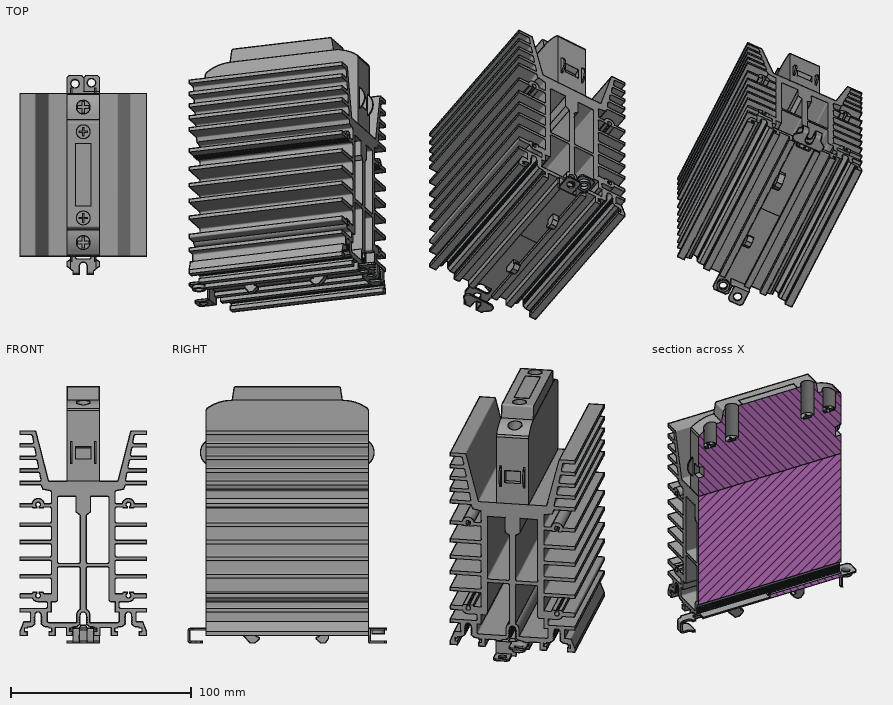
import cadquery as cq
import math

total_height = 141.8
body_length = 90.0
end_y = body_length / 2
clip_reach = 55.0
half_width = 35.0
relay_half_width = 9.1

foot_z = 4.1
floor_bottom, floor_top = 8.5, 11.3
seat_z = 89.5
seat_bottom = 81.1
flank_z = 84.1
fin_thickness = 2.0
root_radius = 0.9
step_radius = 1.1
upper_fin_pitch = 7.0
upper_fin_count = 5
upper_fin_tops = [seat_z + i * upper_fin_pitch for i in range(upper_fin_count)]
slope_foot_inner, slope_top_inner = 19.1, 26.2
slope_foot_outer, slope_top_outer = 23.3, 28.6
plain_fin_tops = [66.5, 56.9, 47.6, 37.9]
boss_fin_top = 77.1
low_boss_fin_top, low_boss_fin_bottom = 27.4, 24.8
low_boss_fin_tip_radius = 0.7
bottom_fin_top = 19.1
wall_outer, wall_inner = 17.6, 14.2
low_wall_outer = 19.9
web_half = 1.7
stem_half, stem_end, stem_taper = 4.1, 72.6, 2.0
shelf_z = 43.1
shelf_thickness = 2.0

channel_x = 25.0
boss_radius, boss_hole_radius, boss_gap_half = 3.4, 1.3, 0.5
upper_boss_z, low_boss_z = 76.6, 26.2
upper_boss_rim_z, low_boss_rim_z = 74.7, 28.2
groove_half, groove_centre_z = 1.7, 15.5
notch_depth, notch_pitch, notch_count, lowest_notch_z = 0.4, 1.4, 3, 11.3
dome_wall = 2.0
slide_half, slide_bottom, slide_top = 7.5, 6.4, 8.2
mouth_half = 6.0
skirt_wall, skirt_shoulder, skirt_top = 29.2, 32.9, 11.9
leg_half = 9.4

crown_base, crown_half_base, crown_half_top, crown_radius = 134.3, 30.5, 29.4, 1.1
crown_half_width = 9.0
shoulder_end_z, shoulder_inset = 129.7, 0.5
relay_side_z = 128.5
well_radius, well_floor_z = 3.8, 120.5
inner_well_y, outer_well_y = 23.8, 37.5
cross_depth = 1.1
inner_cross_length, inner_cross_width = 4.8, 0.7
outer_cross_length, outer_cross_width = 6.2, 1.5
label_width, label_length, label_depth = 8.4, 34.6, 0.1
ear_x, ear_thickness, ear_radius, ear_z, ear_reach = 6.7, 0.9, 7.7, 105.4, 48.0
window_half, window_bottom, window_top, window_depth, window_slope = 4.4, 101.7, 108.8, 3.3, 1.0

sheet = 1.1
strip_bottom = slide_top - sheet
bend_radius = 1.7
leg_fold_radius = 0.7
strip_half = 7.1
slot_half, slot_end_y = 2.1, 48.4
front_leg_half, front_leg_y = 5.7, 53.2
strip_shoulder_y = 52.2
wing_half = 9.1
front_tab_y = 47.0
spring_window_y, spring_window_radius = 44.2, 1.1
spring_window_width, spring_window_length = 8.5, 4.5
tab_split_x = 0.3
tab_corner = 1.3
rear_hole_x, rear_hole_radius = 4.5, 2.3
collar_y, low_hole_y = 50.3, 50.9
collar_radius, collar_bottom, collar_flare = 3.5, 5.1, 1.0
bead_half_base, bead_half_top, bead_top = 2.3, 1.3, 9.9
hook_x_min, hook_x_max = -5.5, -2.1
rear_leg_x_min = -2.1


def prism(points):
    """Closed XZ outline run along the whole length of the heatsink."""
    return cq.Workplane("XZ").polyline(points).close().extrude(end_y, both=True)


def bar(x_min, x_max, z_min, z_max):
    return prism([(x_min, z_min), (x_max, z_min), (x_max, z_max), (x_min, z_max)])


def rod(x, z, radius):
    return cq.Workplane("XZ").center(x, z).circle(radius).extrude(end_y, both=True)


def side_prism(points, x_min, x_max):
    """Closed YZ outline run from x_min to x_max."""
    outline = cq.Workplane("YZ").workplane(offset=x_min).polyline(points).close()
    return outline.extrude(x_max - x_min)


def plate(points, z_min, thickness):
    return cq.Workplane("XY").workplane(offset=z_min).polyline(points).close().extrude(thickness)


def both_sides(shape, plane):
    return shape.union(shape.mirror(plane))


def sloped_wall():
    """Wall that leans outward beside the relay, thinner toward its top."""
    top = upper_fin_tops[-1]
    return prism([(slope_outer(seat_z), seat_z), (slope_foot_inner, seat_z), (slope_top_inner, top),
                  (slope_outer(top), top)])


def slope_outer(z):
    """Half width of the sloped wall's outer face at height z."""
    rise = (z - seat_z) / (upper_fin_tops[-1] - seat_z)
    return slope_foot_outer + rise * (slope_top_outer - slope_foot_outer)


def seat_half():
    """Thick deck under the relay with the stepped flank below its lowest fin."""
    fin_bottom = seat_z - fin_thickness
    return prism([(0, seat_z), (slope_foot_outer, seat_z), (slope_foot_outer, fin_bottom),
                  (22.4, 85.1), (wall_outer, flank_z), (wall_outer, seat_bottom), (0, seat_bottom)])


def side_fins():
    fins = bar(low_wall_outer, half_width, bottom_fin_top - fin_thickness, bottom_fin_top)
    for top in upper_fin_tops:
        root = slope_outer(top - fin_thickness) - 0.5 * fin_thickness
        fins = fins.union(bar(root, half_width, top - fin_thickness, top))
    for top in plain_fin_tops + [boss_fin_top]:
        fins = fins.union(bar(wall_inner, half_width, top - fin_thickness, top))
    low_fin = bar(wall_inner, half_width, low_boss_fin_bottom, low_boss_fin_top)
    return fins.union(low_fin.edges("|Y and >X").fillet(low_boss_fin_tip_radius))


def upper_boss():
    return rod(channel_x, upper_boss_z, boss_radius).cut(
        bar(channel_x - boss_radius, channel_x + boss_radius, upper_boss_z - 2 * boss_radius,
            upper_boss_rim_z))


def low_boss():
    """Boss that opens upward, joined to the side wall by a block."""
    bottom = low_boss_z - boss_radius
    round_part = rod(channel_x, low_boss_z, boss_radius).cut(
        bar(channel_x - boss_radius, channel_x + boss_radius, low_boss_rim_z,
            low_boss_rim_z + boss_radius))
    return round_part.union(bar(wall_inner, channel_x, bottom, low_boss_fin_top))


def boss_hole(z, open_end_z):
    """Screw hole with a narrow gap along one side."""
    gap = bar(channel_x - boss_gap_half, channel_x + boss_gap_half, min(z, open_end_z), max(z, open_end_z))
    return rod(channel_x, z, boss_hole_radius).union(gap)


def rail_foot():
    """Outer foot with the flared skirt."""
    bottom_fin = bottom_fin_top - fin_thickness
    return prism([(15.5, foot_z), (half_width, foot_z), (half_width, 6.4),
                  (skirt_shoulder, skirt_top), (skirt_wall, skirt_top), (skirt_wall, bottom_fin),
                  (low_wall_outer, bottom_fin), (low_wall_outer, floor_top), (15.5, floor_top)])


def rail_channel(x):
    """Round-topped, notched screw groove that flares into an undercut slide."""
    half = [(groove_half, groove_centre_z)]
    for i in reversed(range(notch_count)):
        z = lowest_notch_z + i * notch_pitch
        half += [(groove_half, z + notch_depth), (groove_half + notch_depth, z),
                 (groove_half, z - notch_depth)]
    half += [(groove_half, 10.5), (3.4, 9.1), (mouth_half, 8.8),
             (mouth_half, slide_top), (slide_half, slide_top), (slide_half, slide_bottom),
             (mouth_half, slide_bottom), (mouth_half, foot_z - 1.4)]
    right = [(x + dx, z) for dx, z in half]
    left = [(x - dx, z) for dx, z in reversed(half)]
    return prism(right + left).union(rod(x, groove_centre_z, groove_half))


def round_edges(part, corners, radius):
    """Rounds the lengthwise edges at the given (x, z) corners and at their mirror images."""
    reach = 0.1
    edges = []
    for corner_x, z in corners:
        for x in (corner_x, -corner_x):
            box = cq.selectors.BoxSelector((x - reach, -1.4, z - reach), (x + reach, 1.4, z + reach))
            edges += part.edges(box).vals()
    return part.newObject(edges).fillet(radius)


def root_corners():
    """Corners of the fins, the seat, its flanks, the inner chambers and the skirts."""
    corners = [(slope_foot_inner, seat_z), (slope_top_inner, upper_fin_tops[-1])]
    for top in upper_fin_tops[:-1]:
        corners.append((slope_outer(top), top))
    for top in upper_fin_tops[1:]:
        corners.append((slope_outer(top - fin_thickness), top - fin_thickness))
    for top in plain_fin_tops + [boss_fin_top]:
        corners += [(wall_outer, top), (wall_outer, top - fin_thickness)]
    for z in (shelf_z - shelf_thickness / 2, shelf_z + shelf_thickness / 2):
        corners += [(wall_inner, z), (web_half, z)]
    bottom_fin = bottom_fin_top - fin_thickness
    corners += [(wall_inner, seat_bottom), (low_wall_outer, floor_top), (low_wall_outer, bottom_fin_top),
                (low_wall_outer, low_boss_z - boss_radius), (skirt_wall, bottom_fin),
                (skirt_shoulder, skirt_top), (wall_outer, flank_z),
                (slope_foot_outer, seat_z - fin_thickness)]
    return corners


def make_heatsink():
    half = seat_half().union(sloped_wall()).union(side_fins())
    half = half.union(bar(wall_inner, wall_outer, low_boss_fin_bottom, seat_z))
    half = half.union(bar(wall_outer, low_wall_outer, bottom_fin_top - fin_thickness, low_boss_z))
    half = half.union(upper_boss()).union(low_boss()).union(rail_foot())
    half = half.union(prism([(0, seat_z), (stem_half, seat_z), (stem_half, stem_end),
                             (web_half, stem_end - stem_taper), (0, stem_end - stem_taper)]))
    half = half.union(bar(0, web_half, groove_centre_z, seat_z))
    half = half.union(bar(0, wall_outer, shelf_z - shelf_thickness / 2, shelf_z + shelf_thickness / 2))
    half = half.union(bar(0, low_wall_outer, floor_bottom, floor_top))
    half = half.union(bar(0, leg_half, foot_z, floor_top))
    half = half.union(bar(0, groove_half + dome_wall, floor_bottom, groove_centre_z))
    half = half.cut(boss_hole(upper_boss_z, upper_boss_z - boss_radius))
    half = half.cut(boss_hole(low_boss_z, low_boss_z + boss_radius))

    sink = both_sides(half, "YZ").union(rod(0, groove_centre_z, groove_half + dome_wall))
    for x in (-channel_x, 0, channel_x):
        sink = sink.cut(rail_channel(x))
    sink = round_edges(sink, root_corners(), root_radius)
    return round_edges(sink, [(wall_inner, low_boss_z - boss_radius)], step_radius)


def relay_block():
    """Housing with rounded shoulders and a raised crown."""
    shoulder_y = end_y - shoulder_inset
    outline = (
        cq.Workplane("YZ").workplane(offset=-relay_half_width)
        .moveTo(-end_y, seat_z).lineTo(end_y, seat_z).lineTo(end_y, relay_side_z)
        .lineTo(shoulder_y, shoulder_end_z)
        .threePointArc(shoulder_arc_middle(1), (crown_half_base, crown_base))
        .lineTo(-crown_half_base, crown_base)
        .threePointArc(shoulder_arc_middle(-1), (-shoulder_y, shoulder_end_z))
        .lineTo(-end_y, relay_side_z).close()
    )
    crown = side_prism([(-crown_half_base, crown_base), (crown_half_base, crown_base),
                        (crown_half_top, total_height), (-crown_half_top, total_height)],
                       -crown_half_width, crown_half_width)
    crown = crown.edges("|X and >Z").fillet(crown_radius)
    return outline.extrude(2 * relay_half_width).union(crown)


def shoulder_arc_middle(side):
    """Middle of the arc that leaves the flat top tangentially."""
    run = end_y - shoulder_inset - crown_half_base
    drop = crown_base - shoulder_end_z
    radius = (run ** 2 + drop ** 2) / (2 * drop)
    half_sweep = math.asin(run / radius) / 2
    return (side * (crown_half_base + radius * math.sin(half_sweep)),
            crown_base - radius * (1 - math.cos(half_sweep)))


def screw_well(y, cross_length, cross_width):
    """Round shaft with the cross recess of the screw head in its floor."""
    floor = cq.Workplane("XY").workplane(offset=well_floor_z).center(0, y)
    shaft = floor.circle(well_radius).extrude(total_height - well_floor_z)
    across = floor.rect(cross_length, cross_width).extrude(-cross_depth)
    along = floor.rect(cross_width, cross_length).extrude(-cross_depth)
    return shaft.union(across).union(along)


def end_ears():
    """Pair of thin rounded ears on the +Y end."""
    ear = (cq.Workplane("YZ").workplane(offset=ear_x - ear_thickness / 2)
           .center(ear_reach - ear_radius, ear_z).circle(ear_radius).extrude(ear_thickness))
    return both_sides(ear, "YZ")


def end_window():
    """Terminal recess in the +Y end, its roof sloping down inward."""
    back_y = end_y - window_depth
    return side_prism([(end_y, window_bottom), (end_y, window_top), (back_y, window_top - window_slope),
                       (back_y, window_bottom)], -window_half, window_half)


def make_relay():
    relay = relay_block().union(both_sides(end_ears(), "XZ"))
    relay = relay.cut(both_sides(end_window(), "XZ"))
    for side in (-1, 1):
        relay = relay.cut(screw_well(side * inner_well_y, inner_cross_length, inner_cross_width))
        relay = relay.cut(screw_well(side * outer_well_y, outer_cross_length, outer_cross_width))
    label = cq.Workplane("XY").workplane(offset=total_height).rect(label_width, label_length)
    return relay.cut(label.extrude(-label_depth))


def clip_hook(points):
    return side_prism(points, hook_x_min, hook_x_max)


def symmetric_plate(right_points, z_min):
    """Sheet-thick plate from the outline of its right half."""
    left_points = [(-x, y) for x, y in reversed(right_points)]
    return plate(right_points + left_points, z_min, sheet)


def make_front_clip():
    """Slider whose slotted front end folds down and back."""
    strip = symmetric_plate([(strip_half, 0), (strip_half, -strip_shoulder_y),
                             (front_leg_half, -front_leg_y), (front_leg_half, -clip_reach)], strip_bottom)
    fold = cq.Workplane("XY").box(2 * front_leg_half, sheet, slide_top, centered=(True, False, False))
    tab = symmetric_plate([(7.2, -front_tab_y), (wing_half, -48.0), (wing_half, -50.5),
                           (front_leg_half, -front_leg_y), (front_leg_half, -clip_reach)], 0)
    clip = strip.union(fold.translate((0, -clip_reach, 0))).union(tab)
    clip = clip.edges("|X and <Y").fillet(bend_radius)
    slot_centre_y = -slot_end_y - slot_half
    slot = (cq.Workplane("XY").center(0, slot_centre_y).circle(slot_half).extrude(slide_top)
            .union(cq.Workplane("XY").box(2 * slot_half, clip_reach, slide_top, centered=(True, False, False))
                   .translate((0, slot_centre_y - clip_reach, 0))))
    window = (cq.Workplane("XY").workplane(offset=strip_bottom).center(0, -spring_window_y)
              .rect(spring_window_width, spring_window_length)
              .extrude(sheet).edges("|Z").fillet(spring_window_radius))
    hook = clip_hook([(-24.4, 4.3), (-20.5, 0), (-17.9, 0), (-15.5, 2.1), (-15.5, 3.1), (-17.2, 3.7),
                      (-17.2, strip_bottom), (-24.4, strip_bottom)])
    return clip.cut(slot).cut(window).union(hook)


def rear_tab(x_min, x_max, y_min, z_min):
    """Flat rear tab with its two outer corners cut off."""
    tab = plate([(x_min, y_min), (x_max, y_min), (x_max, clip_reach), (x_min, clip_reach)], z_min, sheet)
    return tab.edges("|Z and >Y").chamfer(tab_corner)


def make_rear_clip():
    """Fixed clip: one straight tab with a flared collar, one tab stepped down."""
    leg_y = end_y
    strip = plate([(-strip_half, 0), (strip_half, 0), (strip_half, leg_y), (-strip_half, leg_y)],
                  strip_bottom, sheet)
    high_tab = rear_tab(-relay_half_width, tab_split_x, leg_y, strip_bottom)
    collar = (cq.Workplane("XY").workplane(offset=collar_bottom).center(-rear_hole_x, collar_y)
              .circle(collar_radius).extrude(slide_top - collar_bottom))
    collar_hole = (cq.Workplane("XY").workplane(offset=collar_bottom).center(-rear_hole_x, collar_y)
                   .circle(rear_hole_radius).extrude(slide_top - collar_bottom))
    leg = (cq.Workplane("XY").box(relay_half_width - rear_leg_x_min, sheet, slide_top, centered=False)
           .translate((rear_leg_x_min, leg_y, 0)).edges("|X and <Y and <Z").fillet(leg_fold_radius))
    low_tab = rear_tab(tab_split_x, relay_half_width, leg_y + sheet / 2, 0)
    low_hole = (cq.Workplane("XY").center(rear_hole_x, low_hole_y).circle(rear_hole_radius).extrude(sheet))
    bead = (cq.Workplane("XZ").workplane(offset=-leg_y)
            .polyline([(-bead_half_base, slide_top), (bead_half_base, slide_top),
                       (bead_half_top, bead_top), (-bead_half_top, bead_top)]).close().extrude(leg_y))
    hook = clip_hook([(22.8, strip_bottom), (22.8, 2.4), (21.0, 0), (18.5, 0), (16.0, 2.3), (16.0, 3.1),
                      (17.6, 3.7), (17.6, strip_bottom)])
    clip = strip.union(high_tab).union(collar).union(leg).union(low_tab).union(bead).union(hook)
    clip = clip.cut(collar_hole).cut(low_hole)
    rim_low = (-rear_hole_x - collar_radius, collar_y - collar_radius, strip_bottom + sheet / 2)
    rim_high = (-rear_hole_x + collar_radius, collar_y + collar_radius, slide_top + sheet / 2)
    rim = clip.edges(cq.selectors.BoxSelector(rim_low, rim_high)).edges("%CIRCLE")
    return rim.fillet(collar_flare)


heatsink = make_heatsink().solids()
relay = make_relay().solids()
front_clip = make_front_clip().solids()
rear_clip = make_rear_clip().solids()

result = cq.Compound.makeCompound([heatsink.val(), relay.val(), front_clip.val(), rear_clip.val()])